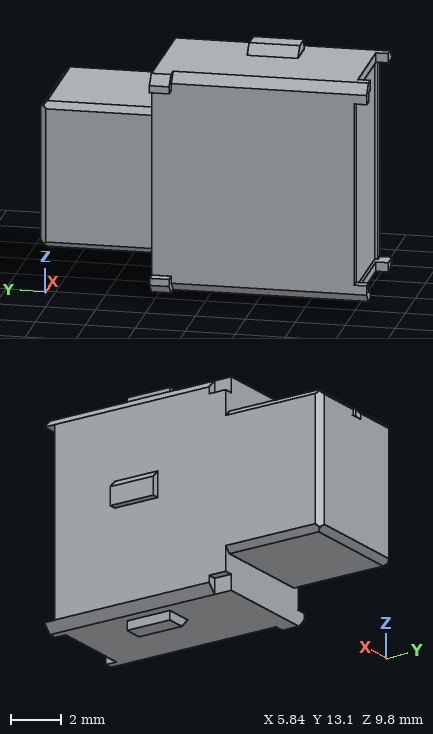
import cadquery as cq

body_width = 5.08
body_height = 9.0
body_length = 8.61
wall = 0.39
overlap = 0.2

post_length = 0.5
post_width = 0.77
recess_depth = 0.12

plug_width = 5.04
plug_height = 6.0
plug_length = 4.5
plug_chamfer = 0.26

notch_width = 0.52
notch_length = 0.22
notch_depth = 0.5
notch_center = 2.55

hook_reach = 0.44
hook_length = 0.79
hook_height = 0.68

tab_start = 3.36
tab_length = 2.03
end_tab_rise = 0.4
end_tab_left = 2.99
end_tab_right = 4.23
side_tab_rise = 0.32
side_tab_top = 1.1
side_tab_bottom = -0.02

half_height = body_height / 2
inner_half_height = half_height - wall
inner_right = body_width - wall


def box(x_range, y_range, z_range):
    """Axis-aligned block between the given limits."""
    size = [limits[1] - limits[0] for limits in (x_range, y_range, z_range)]
    corner = (x_range[0], y_range[0], z_range[0])
    return cq.Workplane("XY").box(*size, centered=False).translate(corner)


def bar_along_y(points, y_start, length):
    """Prism with the given XZ outline, running in +Y from y_start."""
    plane = cq.Workplane("XZ", origin=(0, y_start, 0))
    return plane.polyline(points).close().extrude(-length)


def both_ends(shape):
    """The shape together with its mirror image below mid-height."""
    return shape.union(shape.mirror("XY"))


def make_body():
    body = box((0, body_width), (0, body_length), (-half_height, half_height))
    return body.edges("|Y").chamfer(wall)


def open_end_cut():
    """Recess in the -Y end plus the gaps that leave only the corner posts."""
    recess = box(
        (wall, inner_right),
        (0, post_length + recess_depth),
        (-inner_half_height, inner_half_height),
    )
    end_gaps = box(
        (post_width, body_width - post_width),
        (0, post_length),
        (-half_height, half_height),
    )
    left_gap = box(
        (0, wall),
        (0, post_length),
        (post_width - half_height, half_height - post_width),
    )
    right_gap = box(
        (inner_right, body_width),
        (0, post_length),
        (-inner_half_height, inner_half_height),
    )
    return recess.union(end_gaps).union(left_gap).union(right_gap)


def make_plug():
    block = box(
        (body_width - plug_width, body_width),
        (body_length - overlap, body_length + plug_length),
        (-plug_height / 2, plug_height / 2),
    )
    long_edges_cut = block.edges("|Y").chamfer(plug_chamfer)
    end_edges_cut = block.faces(">Y").edges().chamfer(plug_chamfer)
    plug = long_edges_cut.intersect(end_edges_cut)
    plug_end = body_length + plug_length
    notch = box(
        (notch_center - notch_width / 2, notch_center + notch_width / 2),
        (plug_end - notch_length, plug_end),
        (plug_height / 2 - notch_depth, plug_height / 2),
    )
    return plug.cut(notch)


def make_hooks():
    hook_bottom = half_height - hook_height
    outline = [
        (-hook_reach, hook_bottom),
        (-hook_reach, half_height - wall),
        (wall - hook_reach, half_height),
        (wall + overlap, half_height),
        (wall + overlap, hook_bottom),
    ]
    return both_ends(bar_along_y(outline, body_length - hook_length, hook_length))


def hook_pockets():
    pocket = box(
        (inner_right, body_width),
        (body_length - hook_length, body_length),
        (half_height - hook_height, half_height),
    )
    return both_ends(pocket)


def make_end_tabs():
    """Latch tabs on the top and bottom, sloped on their -X side."""
    tab_top = half_height + end_tab_rise
    outline = [
        (end_tab_left, half_height),
        (end_tab_left + end_tab_rise, tab_top),
        (end_tab_right, tab_top),
        (end_tab_right, half_height - overlap),
        (end_tab_left, half_height - overlap),
    ]
    return both_ends(bar_along_y(outline, tab_start, tab_length))


def make_side_tab():
    """Latch tab on the +X face, sloped on its upper side."""
    tab_face = body_width + side_tab_rise
    outline = [
        (body_width - overlap, side_tab_bottom),
        (tab_face, side_tab_bottom),
        (tab_face, side_tab_top - side_tab_rise),
        (body_width, side_tab_top),
        (body_width - overlap, side_tab_top),
    ]
    return bar_along_y(outline, tab_start, tab_length)


result = make_body().cut(open_end_cut())
result = result.union(make_plug()).union(make_hooks()).cut(hook_pockets())
result = result.union(make_end_tabs()).union(make_side_tab())